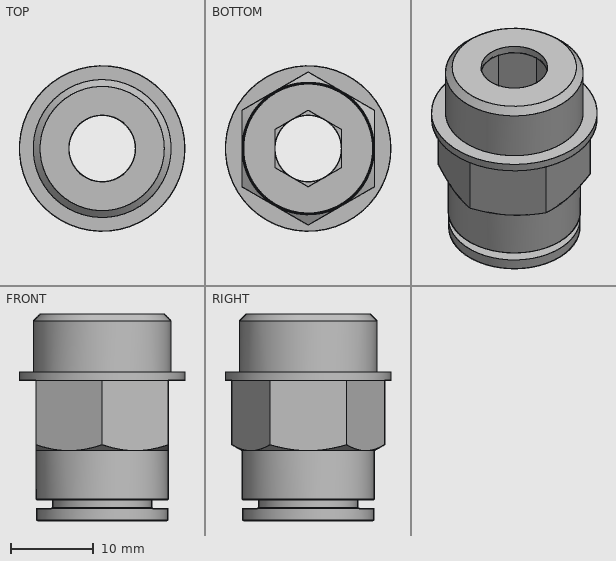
import cadquery as cq
import math

total_height = 25.0

collar_top = 1.5
sleeve_bottom = 2.55
hex_bottom = 8.5
flange_bottom = 17.0
flange_top = 18.0

collar_diameter = 15.88
neck_diameter = 12.0
across_flats = 16.0
sleeve_diameter = across_flats
flange_diameter = 20.0
spigot_diameter = 16.65

spigot_chamfer = 0.82
collar_chamfer = 0.15
sleeve_chamfer = 0.1
neck_foot_chamfer = 0.15
hex_chamfer_angle = 30.0

bore_diameter = 8.0
mouth_depth = 1.0


def cylinder(diameter, bottom, top):
    return cq.Workplane("XY").workplane(offset=bottom).circle(diameter / 2).extrude(top - bottom)


def hexagon(flats, bottom, top):
    """Hexagonal prism with flats facing +X and -X and corners on the Y axis."""
    base = cq.Workplane("XY").workplane(offset=bottom)
    corner_radius = flats / 2 / math.cos(math.radians(30))
    corners = [
        (corner_radius * math.cos(math.radians(angle)), corner_radius * math.sin(math.radians(angle)))
        for angle in range(30, 390, 60)
    ]
    return base.polyline(corners).close().extrude(top - bottom)


def wrench_hexagon():
    """Hexagon whose lower corners are trimmed by a cone tangent to the flats."""
    inner_radius = across_flats / 2
    outer_radius = flange_diameter / 2
    cone_rise = (outer_radius - inner_radius) * math.tan(math.radians(hex_chamfer_angle))
    envelope = (
        cq.Workplane("XZ")
        .moveTo(0, hex_bottom)
        .lineTo(inner_radius, hex_bottom)
        .lineTo(outer_radius, hex_bottom + cone_rise)
        .lineTo(outer_radius, flange_bottom)
        .lineTo(0, flange_bottom)
        .close()
        .revolve()
    )
    return hexagon(across_flats, hex_bottom, flange_bottom).intersect(envelope)


collar = cylinder(collar_diameter, 0, collar_top).faces("<Z").edges().chamfer(collar_chamfer)
neck = cylinder(neck_diameter, collar_top, sleeve_bottom)
foot_diameter = neck_diameter + 2 * neck_foot_chamfer
neck_foot = (
    cq.Workplane("XY")
    .workplane(offset=collar_top)
    .circle(foot_diameter / 2)
    .workplane(offset=neck_foot_chamfer)
    .circle(neck_diameter / 2)
    .loft(ruled=True)
)
sleeve = cylinder(sleeve_diameter, sleeve_bottom, hex_bottom).faces("<Z").edges().chamfer(sleeve_chamfer)
flange = cylinder(flange_diameter, flange_bottom, flange_top)
spigot = cylinder(spigot_diameter, flange_top, total_height).faces(">Z").edges().chamfer(spigot_chamfer)

body = collar.union(neck).union(neck_foot).union(sleeve)
body = body.union(wrench_hexagon()).union(flange).union(spigot)

mouth_bottom = total_height - mouth_depth
mouth = cylinder(bore_diameter, mouth_bottom, total_height)
socket = hexagon(bore_diameter, 0, mouth_bottom)

result = body.cut(socket).cut(mouth)